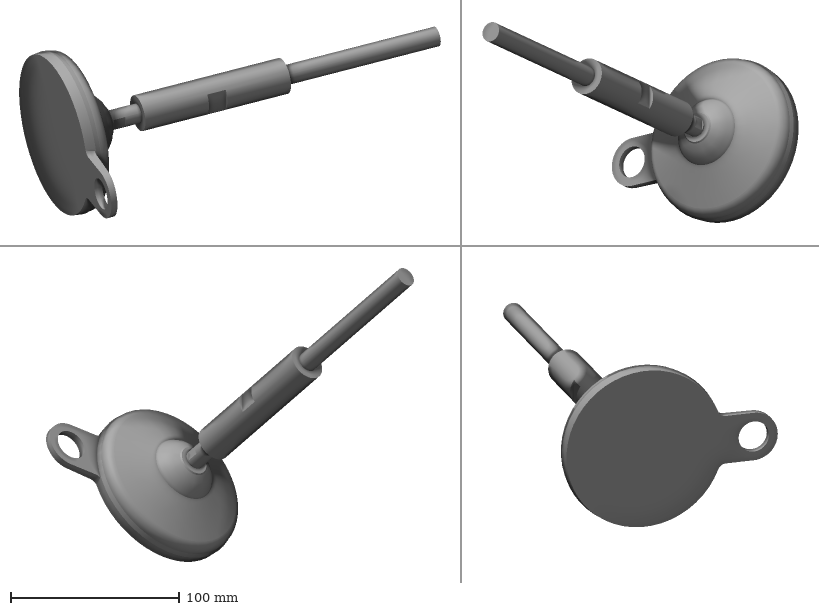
import cadquery as cq
import math

TOTAL_LENGTH = 250.0

SEAM_RADIUS = 50.0
SEAM_HEIGHT = 6.2
EDGE_RADIUS = 49.2
SHOULDER_START_HEIGHT = 9.2
SHOULDER_END_RADIUS = 44.8
SHOULDER_END_HEIGHT = 16.0
DOME_BASE_RADIUS = 20.5
DOME_BASE_HEIGHT = 25.0
DOME_TOP_RADIUS = 9.8
DOME_TOP_HEIGHT = 34.5
DOME_BULGE = 1.2
RIM_RADIUS = 9.0
FOOT_HEIGHT = 35.2
SOCKET_DEPTH = 1.2

LUG_LENGTH = 83.0
LUG_RADIUS = 15.0
LUG_HOLE_RADIUS = 9.5
LUG_FILLET = 5.0
LUG_ROOT_HEIGHT = 5.5
LUG_TIP_HEIGHT = 4.0

SPINDLE_RADIUS = 6.0
SPINDLE_SHOULDER_HEIGHT = 36.0
NECK_RADIUS = 5.5
SPINDLE_FLATS_WIDTH = 10.0
SPINDLE_FLATS_START = 37.0
SPINDLE_FLATS_LENGTH = 7.5

SLEEVE_RADIUS = 11.0
SLEEVE_START = 55.0
SLEEVE_LENGTH = 95.0
SLEEVE_FLATS_WIDTH = 17.0
SLEEVE_FLATS_LENGTH = 12.0


def cylinder(radius, start, length):
    """Cylinder on the Y axis from Y = start."""
    return cq.Workplane("XZ", origin=(0, start, 0)).circle(radius).extrude(-length)


def cut_flats(body, radius, width, start, length):
    """Mill two opposite wrench flats, facing -X and +X."""
    band = cylinder(radius, start, length)
    core = cq.Workplane("XY").box(width, length, 2 * radius).translate((0, start + length / 2, 0))
    return body.cut(band.cut(core))


def make_dish():
    """Turned foot disc with a rounded shoulder and a domed hub."""
    chord_run = DOME_TOP_RADIUS - DOME_BASE_RADIUS
    chord_rise = DOME_TOP_HEIGHT - DOME_BASE_HEIGHT
    chord = math.hypot(chord_run, chord_rise)
    dome_middle = (
        (DOME_TOP_RADIUS + DOME_BASE_RADIUS) / 2 + DOME_BULGE * chord_rise / chord,
        (DOME_TOP_HEIGHT + DOME_BASE_HEIGHT) / 2 - DOME_BULGE * chord_run / chord,
    )
    return (
        cq.Workplane("XY")
        .moveTo(0, FOOT_HEIGHT)
        .lineTo(RIM_RADIUS, FOOT_HEIGHT)
        .lineTo(DOME_TOP_RADIUS, DOME_TOP_HEIGHT)
        .threePointArc(dome_middle, (DOME_BASE_RADIUS, DOME_BASE_HEIGHT))
        .lineTo(SHOULDER_END_RADIUS, SHOULDER_END_HEIGHT)
        .tangentArcPoint((EDGE_RADIUS, SHOULDER_START_HEIGHT), relative=False)
        .lineTo(SEAM_RADIUS, SEAM_HEIGHT)
        .lineTo(EDGE_RADIUS, 0)
        .lineTo(0, 0)
        .close()
        .revolve(360, (0, 0, 0), (0, 1, 0))
    )


def make_lug():
    """Pierced lug with filleted roots and a top that slopes down to the tip."""
    hole_x = LUG_LENGTH - LUG_RADIUS
    fillet_z = LUG_RADIUS + LUG_FILLET
    fillet_x = math.sqrt((EDGE_RADIUS + LUG_FILLET) ** 2 - fillet_z**2)
    touch_ratio = EDGE_RADIUS / (EDGE_RADIUS + LUG_FILLET)
    touch_x = fillet_x * touch_ratio
    touch_z = fillet_z * touch_ratio
    middle_angle = (math.atan2(-fillet_z, -fillet_x) - math.pi / 2) / 2
    middle_x = fillet_x + LUG_FILLET * math.cos(middle_angle)
    middle_z = fillet_z + LUG_FILLET * math.sin(middle_angle)
    plate = (
        cq.Workplane("XZ")
        .moveTo(0, touch_z)
        .lineTo(touch_x, touch_z)
        .threePointArc((middle_x, middle_z), (fillet_x, LUG_RADIUS))
        .lineTo(hole_x, LUG_RADIUS)
        .threePointArc((LUG_LENGTH, 0), (hole_x, -LUG_RADIUS))
        .lineTo(fillet_x, -LUG_RADIUS)
        .threePointArc((middle_x, -middle_z), (touch_x, -touch_z))
        .lineTo(0, -touch_z)
        .close()
        .moveTo(hole_x, 0)
        .circle(LUG_HOLE_RADIUS)
        .extrude(-LUG_ROOT_HEIGHT)
    )
    wedge = (
        cq.Workplane("XY")
        .polyline([
            (0, 0),
            (LUG_LENGTH, 0),
            (LUG_LENGTH, LUG_TIP_HEIGHT),
            (EDGE_RADIUS, LUG_ROOT_HEIGHT),
            (0, LUG_ROOT_HEIGHT),
        ])
        .close()
        .extrude(SEAM_RADIUS, both=True)
    )
    return plate.intersect(wedge)


def make_foot():
    """Disc and lug in one piece, with a blind socket for the spindle neck."""
    socket = cylinder(NECK_RADIUS, FOOT_HEIGHT - SOCKET_DEPTH, SOCKET_DEPTH)
    return make_dish().union(make_lug()).cut(socket)


def make_spindle():
    """Long rod with a thinner neck seated in the foot and a pair of wrench flats."""
    neck_start = FOOT_HEIGHT - SOCKET_DEPTH
    neck = cylinder(NECK_RADIUS, neck_start, SPINDLE_SHOULDER_HEIGHT - neck_start)
    rod = cylinder(SPINDLE_RADIUS, SPINDLE_SHOULDER_HEIGHT, TOTAL_LENGTH - SPINDLE_SHOULDER_HEIGHT)
    return cut_flats(
        rod.union(neck), SPINDLE_RADIUS, SPINDLE_FLATS_WIDTH, SPINDLE_FLATS_START, SPINDLE_FLATS_LENGTH
    )


def make_sleeve():
    """Tube around the spindle with wrench flats at mid length."""
    tube = cylinder(SLEEVE_RADIUS, SLEEVE_START, SLEEVE_LENGTH).cut(
        cylinder(SPINDLE_RADIUS, SLEEVE_START, SLEEVE_LENGTH)
    )
    flats_start = SLEEVE_START + (SLEEVE_LENGTH - SLEEVE_FLATS_LENGTH) / 2
    return cut_flats(tube, SLEEVE_RADIUS, SLEEVE_FLATS_WIDTH, flats_start, SLEEVE_FLATS_LENGTH)


foot = make_foot()
spindle = make_spindle()
sleeve = make_sleeve()

result = cq.Compound.makeCompound([foot.val(), spindle.val(), sleeve.val()])